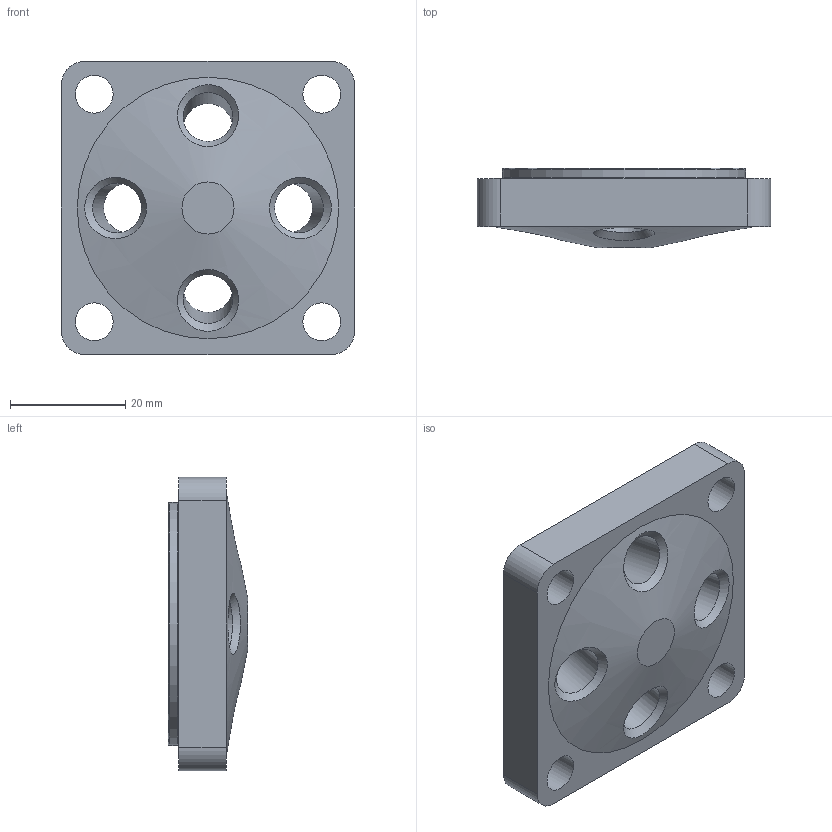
import cadquery as cq
import math

plate_side = 50.8
plate_thickness = 8.26
corner_radius = 4.06

pilot_diameter = 42.1
pilot_height = 1.78
pilot_edge_radius = 0.25

cone_height = 3.68
cone_base_diameter = 45.3
cone_top_diameter = 9.04

mount_hole_diameter = 6.53
mount_hole_spacing = 39.4

port_count = 4
port_diameter = 8.64
port_mouth_diameter = 10.92
port_mouth_depth = 1.2
port_center_distance = 16.0

cone_run = (cone_base_diameter - cone_top_diameter) / 2
cone_angle = math.atan2(cone_height, cone_run)
mouth_clearance = 1.0
bore_length = 2 * (plate_thickness + pilot_height + cone_height)


def make_plate():
    return (
        cq.Workplane("XZ")
        .rect(plate_side, plate_side)
        .extrude(-plate_thickness)
        .edges("|Y")
        .fillet(corner_radius)
    )


def make_pilot():
    """Pilot with a rounded rim and a fillet running out onto the plate, revolved about Y."""
    radius = pilot_diameter / 2
    edge = pilot_edge_radius
    base_y = plate_thickness
    top_y = plate_thickness + pilot_height
    diagonal = edge * (1 - math.sqrt(0.5))
    return (
        cq.Workplane("XY")
        .moveTo(0, base_y)
        .lineTo(radius + edge, base_y)
        .threePointArc((radius + diagonal, base_y + diagonal), (radius, base_y + edge))
        .lineTo(radius, top_y - edge)
        .threePointArc((radius - diagonal, top_y - diagonal), (radius - edge, top_y))
        .lineTo(0, top_y)
        .close()
        .revolve(360, (0, 0, 0), (0, 1, 0))
    )


def make_cone():
    return (
        cq.Workplane("XY")
        .lineTo(cone_base_diameter / 2, 0)
        .lineTo(cone_top_diameter / 2, -cone_height)
        .lineTo(0, -cone_height)
        .close()
        .revolve(360, (0, 0, 0), (0, 1, 0))
    )


def make_port_cutter():
    """Bore and countersink for the +X port, entering along the inward cone normal."""
    surface_y = -(cone_base_diameter / 2 - port_center_distance) * math.tan(cone_angle)
    mouth_center = cq.Vector(port_center_distance, surface_y, 0)
    inward = cq.Vector(-math.sin(cone_angle), math.cos(cone_angle), 0)
    start = mouth_center - inward * mouth_clearance
    flare = (port_mouth_diameter - port_diameter) / 2 / port_mouth_depth
    start_radius = port_mouth_diameter / 2 + mouth_clearance * flare
    bore = cq.Solid.makeCylinder(port_diameter / 2, bore_length, start, inward)
    countersink = cq.Solid.makeCone(
        start_radius, port_diameter / 2, mouth_clearance + port_mouth_depth, start, inward
    )
    return cq.Workplane(obj=bore.fuse(countersink))


def cut_mount_holes(body):
    holes = (
        cq.Workplane("XZ")
        .rect(mount_hole_spacing, mount_hole_spacing, forConstruction=True)
        .vertices()
        .circle(mount_hole_diameter / 2)
        .extrude(-plate_thickness)
    )
    return body.cut(holes)


def cut_ports(body):
    cutter = make_port_cutter()
    for index in range(port_count):
        angle = index * 360 / port_count
        body = body.cut(cutter.rotate((0, 0, 0), (0, 1, 0), angle))
    return body


body = make_plate().union(make_pilot()).union(make_cone())
result = cut_ports(cut_mount_holes(body))